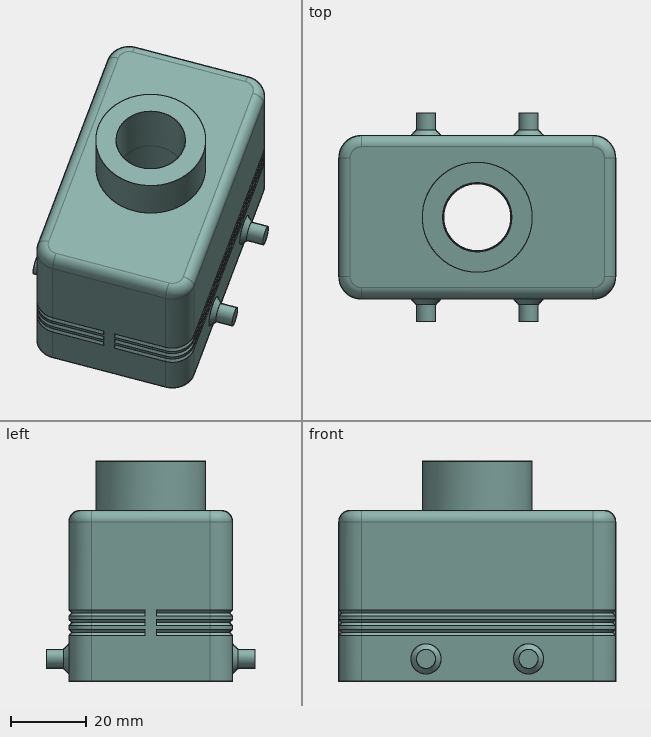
import cadquery as cq

body_length = 73.0
body_width = 43.15
body_height = 45.05
corner_radius = 6.0
top_edge_radius = 3.0

total_height = 58.0
collar_diameter = 29.0

mouth_diameter = 18.25
bore_diameter = 17.7
taper_depth = 16.0

groove_count = 3
groove_pitch = 2.55
middle_groove_height = 15.5
groove_depth = 0.8
plain_strip_width = 3.0

peg_diameter = 5.05
peg_span = 55.0
peg_spacing = 27.0
peg_height = 5.9
peg_cone_length = 1.45
peg_root = 1.45


def make_body():
    body = cq.Workplane("XY").box(
        body_length, body_width, body_height, centered=(True, True, False)
    )
    body = body.edges("|Z").fillet(corner_radius)
    return body.faces(">Z").edges().fillet(top_edge_radius)


def make_collar():
    return (
        cq.Workplane("XY")
        .workplane(offset=body_height - top_edge_radius)
        .circle(collar_diameter / 2)
        .extrude(total_height - body_height + top_edge_radius)
    )


def make_bore():
    """Half profile of the bore, revolved about the Z axis."""
    return (
        cq.Workplane("XZ")
        .lineTo(bore_diameter / 2, 0)
        .lineTo(bore_diameter / 2, total_height - taper_depth)
        .lineTo(mouth_diameter / 2, total_height)
        .lineTo(0, total_height)
        .close()
        .revolve(360, (0, 0, 0), (0, 1, 0))
    )


def make_groove(height):
    """V-section ring with 45 degree flanks, split by the plain strips at both ends."""
    wall = -body_width / 2
    path = (
        cq.Workplane("XY")
        .workplane(offset=height)
        .rect(body_length, body_width)
        .extrude(groove_depth)
        .edges("|Z")
        .fillet(corner_radius)
        .faces("<Z")
        .wires()
    )
    ring = (
        cq.Workplane("YZ")
        .moveTo(wall, height + groove_depth)
        .lineTo(wall + groove_depth, height)
        .lineTo(wall, height - groove_depth)
        .close()
        .sweep(path)
    )
    strip = cq.Workplane("XY").box(2 * body_length, plain_strip_width, 2 * body_height)
    return ring.cut(strip)


def make_peg(x, side):
    """Peg with a conical foot; side is -1 or +1 for the -Y or +Y wall."""
    wall = body_width / 2
    radius = peg_diameter / 2
    foot_radius = radius + peg_cone_length
    profile = (
        cq.Workplane("XY")
        .moveTo(x, side * (wall - peg_root))
        .lineTo(x + foot_radius, side * (wall - peg_root))
        .lineTo(x + foot_radius, side * wall)
        .lineTo(x + radius, side * (wall + peg_cone_length))
        .lineTo(x + radius, side * peg_span / 2)
        .lineTo(x, side * peg_span / 2)
        .close()
    )
    return profile.revolve(360, (x, 0, 0), (x, 1, 0)).translate((0, 0, peg_height))


result = make_body().union(make_collar())

for index in range(groove_count):
    steps_from_middle = index - (groove_count - 1) / 2
    groove = make_groove(middle_groove_height + steps_from_middle * groove_pitch)
    result = result.cut(groove)

for peg_x in (-peg_spacing / 2, peg_spacing / 2):
    for peg_side in (-1, 1):
        result = result.union(make_peg(peg_x, peg_side))

result = result.cut(make_bore())